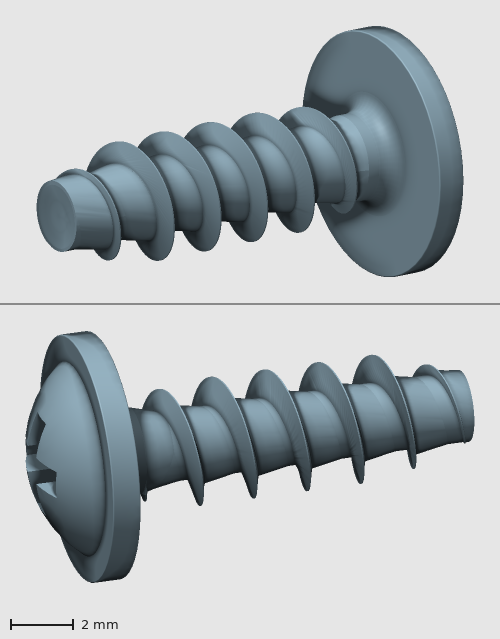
import cadquery as cq
import math


total_length = 14.41
flange_diameter = 8.0
head_height = 2.4
flange_thickness = 0.92
flange_edge_fillet = 0.05
dome_base_radius = 3.14
dome_height = head_height - flange_thickness

recess_span = 3.25
recess_wing_width = 0.92
recess_depth = dome_height

shank_length = total_length - head_height
neck_radius = 1.41
neck_fillet = 0.6
neck_end = 11.01
neck_taper_length = 1.01

dish_radius = 1.04
dish_depth = 0.07

pitch = 1.79
core_root_radius = 1.14
core_peak_radius = 1.33
tip_cone_slope = 0.14

thread_radius = 2.02
crest_width = 0.05
root_width = 0.6
burial_depth = 0.1
wedge_length = 1.43
wedge_end_radius = 1.11
thread_start = 0.15
flank_slope = (root_width - crest_width) / 2 / (thread_radius - core_root_radius)
tip_runout_length = 1.5 * pitch
tip_runout_slope = (thread_radius - core_root_radius) / tip_runout_length
head_runout_start = 9.3
head_runout_slope = 0.24
start_angle = math.pi / 2
points_per_turn = 16
trim_allowance = 0.72


def cylinder(radius, bottom, top):
    return cq.Workplane("XY").workplane(offset=bottom).circle(radius).extrude(top - bottom)


def crest_radius(height):
    """Crest radius of the thread, fading out towards the tip and towards the neck."""
    tip_fade = max(tip_runout_length - height, 0) * tip_runout_slope
    head_fade = max(height - head_runout_start, 0) * head_runout_slope
    return thread_radius - tip_fade - head_fade


def helical_solid(profile_at, bottom, top):
    """Solid swept along the thread helix; profile_at(height) lists (radius, axial shift) corners."""
    steps = math.ceil((top - bottom) / pitch * points_per_turn)
    heights = [bottom + (top - bottom) * step / steps for step in range(steps + 1)]

    def corner_point(height, radius, shift):
        angle = start_angle + 2 * math.pi * height / pitch
        return cq.Vector(radius * math.cos(angle), radius * math.sin(angle), height + shift)

    sections = [[corner_point(h, r, s) for r, s in profile_at(h)] for h in heights]
    corner_edges = [cq.Edge.makeSpline(list(path)) for path in zip(*sections)]
    next_edges = corner_edges[1:] + corner_edges[:1]
    faces = [cq.Face.makeRuledSurface(a, b) for a, b in zip(corner_edges, next_edges)]
    for section in (sections[0], sections[-1]):
        faces.append(cq.Face.makeFromWires(cq.Wire.makePolygon(section, close=True)))
    solid = cq.Solid.makeSolid(cq.Shell.makeShell(faces))
    return cq.Workplane(obj=cq.Shape.cast(solid.fix().wrapped))


def thread_profile(height):
    """Ridge with a wedge on its tip side that slims the core down to the previous turn."""
    crest = crest_radius(height)
    foot = core_root_radius - burial_depth
    tip_side_root = min(core_peak_radius, core_root_radius + tip_cone_slope * height)
    head_side_foot = crest_width / 2 + flank_slope * (crest - foot)
    tip_side_width = crest_width / 2 + flank_slope * (crest - tip_side_root)
    return [
        (foot, head_side_foot),
        (crest, crest_width / 2),
        (crest, -crest_width / 2),
        (tip_side_root, -tip_side_width),
        (wedge_end_radius, -wedge_length),
        (foot, -wedge_length),
    ]


def make_threaded_shank():
    thread = helical_solid(thread_profile, thread_start, neck_end + root_width / 2)
    core = cylinder(core_root_radius, -trim_allowance, shank_length)
    trim = cylinder(2 * thread_radius, 0, neck_end)
    return core.union(thread).intersect(trim)


def make_tip_dish():
    sphere_radius = (dish_radius**2 + dish_depth**2) / (2 * dish_depth)
    return cq.Workplane("XY").sphere(sphere_radius).translate((0, 0, dish_depth - sphere_radius))


def make_neck_taper():
    taper_start = neck_end - neck_taper_length
    outline = [(0, taper_start), (core_root_radius, taper_start), (neck_radius, neck_end), (0, neck_end)]
    return cq.Workplane("XZ").polyline(outline).close().revolve(360, (0, 0, 0), (0, 1, 0))


def make_flange():
    flange = cylinder(flange_diameter / 2, shank_length, shank_length + flange_thickness)
    return flange.edges("%CIRCLE").fillet(flange_edge_fillet)


def make_dome():
    """Spherical cap that reaches down into the flange."""
    corner_radius = recess_wing_width / math.sqrt(2)
    center_rise = (corner_radius**2 - dome_base_radius**2 + dome_height**2) / (2 * dome_height)
    sphere_radius = math.hypot(dome_base_radius, center_rise)
    sphere_center = shank_length + flange_thickness + center_rise
    sphere = cq.Workplane("XY").sphere(sphere_radius).translate((0, 0, sphere_center))
    flange_middle = shank_length + flange_thickness / 2
    return sphere.intersect(cylinder(dome_base_radius, flange_middle, sphere_center + sphere_radius))


def make_neck():
    """Short cylinder that flares into the underside of the flange."""
    flange_middle = shank_length + flange_thickness / 2
    arc_inset = neck_fillet * (1 - math.sqrt(0.5))
    outline = (
        cq.Workplane("XZ")
        .moveTo(0, neck_end)
        .lineTo(neck_radius, neck_end)
        .lineTo(neck_radius, shank_length - neck_fillet)
        .threePointArc(
            (neck_radius + arc_inset, shank_length - arc_inset),
            (neck_radius + neck_fillet, shank_length),
        )
        .lineTo(neck_radius + neck_fillet, flange_middle)
        .lineTo(0, flange_middle)
        .close()
    )
    return outline.revolve(360, (0, 0, 0), (0, 1, 0))


def make_recess():
    floor = cq.Workplane("XY").workplane(offset=total_length - recess_depth)
    wing = floor.rect(recess_span, recess_wing_width).extrude(2 * recess_depth)
    return wing.union(wing.rotate((0, 0, 0), (0, 0, 1), 90))


head = make_flange().union(make_dome()).cut(make_recess())
screw = head.union(make_neck()).union(make_neck_taper()).union(make_threaded_shank())
screw = screw.cut(make_tip_dish())
result = screw.rotate((0, 0, 0), (1, 0, 0), -90)